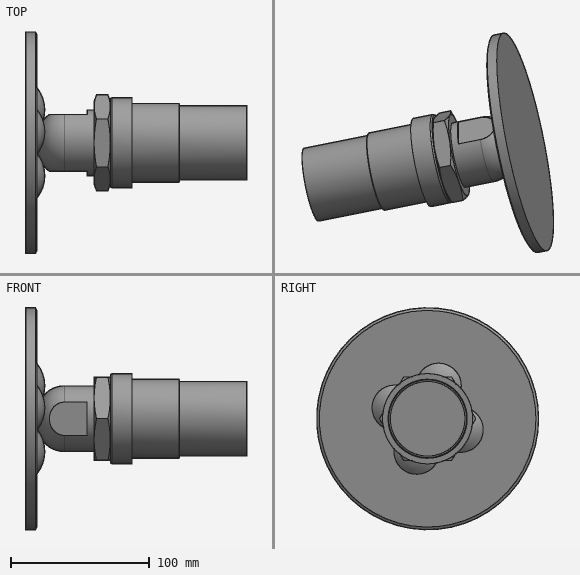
import cadquery as cq
import math


plate_diameter = 160.0
plate_thickness = 8.0
plate_chamfer_length = 1.0
plate_chamfer_depth = 2.0

dome_count = 4
dome_base_radius = 16.3
dome_height = 5.8
dome_circle_radius = 25.0
dome_first_angle = 18.5

stud_diameter = 47.5
stud_nose_radius = 20.0
flat_width = 41.0
flat_end_x = 44.3

nut_start_x = 49.2
nut_thickness = 11.8
nut_across_flats = 60.0
nut_face_diameter = 59.5
nut_chamfer_angle = 20.0

collar_diameter = 65.0
collar_length = 15.7
collar_chamfer_length = 1.2
collar_chamfer_depth = 0.7
barrel_diameter = 57.0
barrel_end_x = 110.8
barrel_chamfer = 0.5
tail_diameter = 53.75
overall_length = 159.24

nut_end_x = nut_start_x + nut_thickness


def cylinder(start_x, end_x, diameter):
    """Solid cylinder along the X axis between two stations."""
    return cq.Workplane("YZ", origin=(start_x, 0, 0)).circle(diameter / 2).extrude(end_x - start_x)


def revolve_about_x(profile):
    """Turn a closed XY profile a full revolution about the X axis."""
    return profile.close().revolve(360, (0, 0, 0), (1, 0, 0))


def make_dome():
    """Spherical cap standing on the back of the plate, centred on X."""
    cap_radius = (dome_base_radius**2 + dome_height**2) / (2 * dome_height)
    half_angle = math.asin(dome_base_radius / cap_radius) / 2
    centre_x = plate_thickness + dome_height - cap_radius
    cap_middle = (centre_x + cap_radius * math.cos(half_angle), cap_radius * math.sin(half_angle))
    profile = (
        cq.Workplane("XY")
        .moveTo(plate_thickness, 0)
        .lineTo(plate_thickness, dome_base_radius)
        .threePointArc(cap_middle, (plate_thickness + dome_height, 0))
    )
    return revolve_about_x(profile)


def make_plate():
    """Disc with a chamfered back rim and a ring of domes, relieved where the stud nose passes."""
    plate = revolve_about_x(
        cq.Workplane("XY")
        .lineTo(0, plate_diameter / 2)
        .lineTo(plate_thickness - plate_chamfer_length, plate_diameter / 2)
        .lineTo(plate_thickness, plate_diameter / 2 - plate_chamfer_depth)
        .lineTo(plate_thickness, 0)
    )
    dome = make_dome().translate((0, dome_circle_radius, 0))
    for index in range(dome_count):
        angle = dome_first_angle + index * 360 / dome_count
        plate = plate.union(dome.rotate((0, 0, 0), (1, 0, 0), -angle))
    return plate.cut(make_stud())


def make_stud():
    """Round stud with a rounded nose on the plate and two wrench flats."""
    stud = cylinder(plate_thickness, nut_end_x, stud_diameter)
    stud = stud.faces("<X").edges().fillet(stud_nose_radius)
    waste = (
        cq.Workplane("XY")
        .box(flat_end_x, stud_diameter, stud_diameter, centered=(False, False, True))
        .translate((0, flat_width / 2, 0))
    )
    return stud.cut(waste).cut(waste.mirror("XZ"))


def make_nut():
    """Hexagon with its corners turned off at both ends, bored for the stud."""
    corner_radius = nut_across_flats / math.sqrt(3)
    face_radius = nut_face_diameter / 2
    chamfer_length = (corner_radius - face_radius) * math.tan(math.radians(nut_chamfer_angle))
    blank = (
        cq.Workplane("YZ", origin=(nut_start_x, 0, 0))
        .polygon(6, 2 * corner_radius)
        .extrude(nut_thickness)
    )
    envelope = revolve_about_x(
        cq.Workplane("XY")
        .moveTo(nut_start_x, 0)
        .lineTo(nut_start_x, face_radius)
        .lineTo(nut_start_x + chamfer_length, corner_radius)
        .lineTo(nut_end_x - chamfer_length, corner_radius)
        .lineTo(nut_end_x, face_radius)
        .lineTo(nut_end_x, 0)
    )
    return blank.intersect(envelope).cut(cylinder(nut_start_x, nut_end_x, stud_diameter))


def make_sleeve():
    """Collar against the nut, then a barrel and a slightly smaller tail."""
    collar_end_x = nut_end_x + collar_length
    collar = revolve_about_x(
        cq.Workplane("XY")
        .moveTo(nut_end_x, 0)
        .lineTo(nut_end_x, collar_diameter / 2 - collar_chamfer_depth)
        .lineTo(nut_end_x + collar_chamfer_length, collar_diameter / 2)
        .lineTo(collar_end_x, collar_diameter / 2)
        .lineTo(collar_end_x, 0)
    )
    barrel = cylinder(collar_end_x, barrel_end_x, barrel_diameter).faces(">X").chamfer(barrel_chamfer)
    tail = cylinder(barrel_end_x, overall_length, tail_diameter)
    return collar.union(barrel).union(tail)


plate = make_plate()
stud = make_stud()
nut = make_nut()
sleeve = make_sleeve()

result = cq.Compound.makeCompound([plate.val(), stud.val(), nut.val(), sleeve.val()])